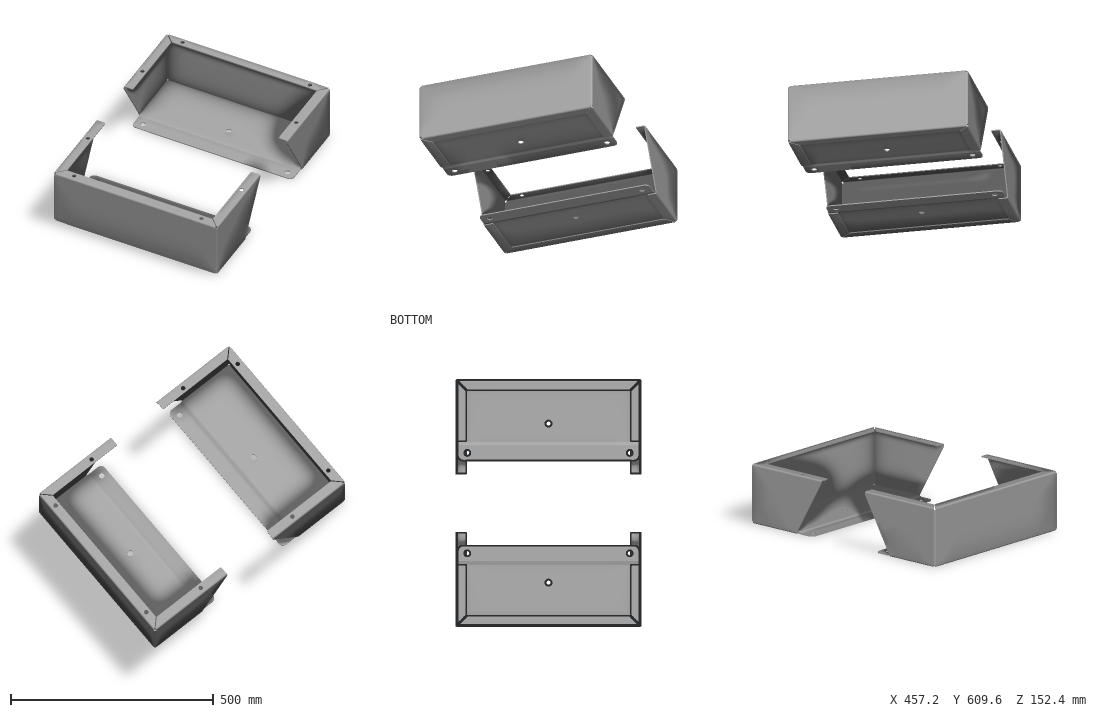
import cadquery as cq
import math

width = 457.2
pair_depth = 609.6
height = 152.4
back = pair_depth / 2
half_width = width / 2

sheet = 2.66
bend_radius = 4.25
bend_inside = bend_radius - sheet
lip_width = 25.4
mitre_gap = 3.2
corner_relief = bend_radius + mitre_gap / 2
lip_corner_radius = 3.0

side_top_length = 231.8
side_bottom_length = 151.9
slope_angle = 30.0
free_edge_height = 8.6
side_top = back - side_top_length
side_bottom = back - side_bottom_length
slope_rise = (side_top_length - side_bottom_length) / math.tan(math.radians(slope_angle))

lip_hole_diameter = 11.11
lip_hole_inset = 14.3
back_hole_x = 177.8
side_hole_y = back - 158.75

floor_hole_diameter = 14.29
floor_hole_y = back - 108.0
step_distance = 152.4
step_run = 9.1
flange_width = 38.1
flange_corner_radius = 12.7
flange_hole_x = 201.2
floor_half_width = half_width - bend_radius
floor_back = back - bend_radius
step_start = back - step_distance
step_end = step_start - step_run
flange_front = step_end - flange_width
flange_hole_y = step_end - flange_width / 2


def prism(points, bottom, top):
    """Vertical prism over a plan outline."""
    return cq.Workplane("XY").workplane(offset=bottom).polyline(points).close().extrude(top - bottom)


def vertical_holes(points, diameter, bottom, top):
    """Cutters for round holes at the given plan points."""
    centres = cq.Workplane("XY").workplane(offset=bottom).pushPoints(points)
    return centres.circle(diameter / 2).extrude(top - bottom)


def u_outline(inset, corner_radius):
    """Plan block with its two back corners rounded, inset from the outer wall faces."""
    block = cq.Workplane("XY").box(
        width - 2 * inset, side_top_length - inset, height, centered=(True, False, False)
    )
    return block.translate((0, side_top, 0)).edges("|Z and >Y").fillet(corner_radius)


def upright_walls():
    """Back wall and two side walls joined by the vertical bends, between the lip bends.

    The vertical bends stop short at the top and bottom to clear the lip corners.
    """
    shell = u_outline(0, bend_radius).cut(u_outline(sheet, bend_inside))
    slope_bottom = height - free_edge_height - slope_rise
    side_view = [
        (back, bend_radius),
        (side_bottom, bend_radius),
        (side_bottom, slope_bottom),
        (side_top, slope_bottom + slope_rise),
        (side_top, height - bend_radius),
        (back, height - bend_radius),
    ]
    keep = cq.Workplane("YZ").polyline(side_view).close().extrude(half_width, both=True)
    walls = shell.intersect(keep)
    corners = [(-half_width, back), (half_width, back)]
    for z in (0, height):
        relief = cq.Workplane("XY").workplane(offset=z).pushPoints(corners)
        walls = walls.cut(relief.rect(2 * corner_relief, 2 * corner_relief).extrude(corner_relief, both=True))
    return walls


def lip_section(plane):
    """Top lip section: origin on the outer wall face at the top, first axis inward."""
    diagonal = math.sqrt(0.5)
    outer_mid = bend_radius * (1 - diagonal)
    inner_mid = bend_radius - bend_inside * diagonal
    return (
        cq.Workplane(plane)
        .moveTo(0, -bend_radius)
        .threePointArc((outer_mid, -outer_mid), (bend_radius, 0))
        .lineTo(lip_width, 0)
        .lineTo(lip_width, -sheet)
        .lineTo(bend_radius, -sheet)
        .threePointArc((inner_mid, -inner_mid), (sheet, -bend_radius))
        .close()
    )


def back_lip():
    """Lip along the back wall, mitred at both ends and stopped short of the vertical bends."""
    plane = cq.Plane(origin=(half_width, back, height), xDir=(0, -1, 0), normal=(-1, 0, 0))
    mitre_x = half_width - mitre_gap / 2
    bend_end = half_width - corner_relief
    inner_x = mitre_x - lip_width
    right_end = [(bend_end, back), (bend_end, back - bend_radius), (inner_x, back - lip_width)]
    left_end = [(-x, y) for x, y in reversed(right_end)]
    plan = right_end + left_end
    return lip_section(plane).extrude(width).intersect(prism(plan, 0, height))


def side_lip(free_end):
    """Lip along the left side wall, mitred at the back and rounded at its free end."""
    plane = cq.Plane(origin=(-half_width, back, height), xDir=(1, 0, 0), normal=(0, -1, 0))
    mitre_y = back - mitre_gap / 2
    bend_end = back - corner_relief
    inner_x = -half_width + lip_width
    plan = [
        (-half_width, bend_end),
        (-half_width + bend_radius, bend_end),
        (inner_x, mitre_y - lip_width),
        (inner_x, free_end),
        (-half_width, free_end),
    ]
    trim = prism(plan, 0, height).edges("|Z and >X and <Y").fillet(lip_corner_radius)
    return lip_section(plane).extrude(back - free_end).intersect(trim)


def lip_ring(free_end):
    """The three top lips; the side lips stop at the given free end."""
    left = side_lip(free_end)
    return [back_lip(), left, left.mirror("YZ")]


def make_frame():
    """Bent wall frame: upright walls, drilled top lips and plain bottom lips."""
    hole_points = [
        point
        for side in (-1, 1)
        for point in (
            (side * back_hole_x, back - lip_hole_inset),
            (side * (half_width - lip_hole_inset), side_hole_y),
        )
    ]
    holes = vertical_holes(hole_points, lip_hole_diameter, height - bend_radius, height)
    frame = upright_walls()
    for lip in lip_ring(side_top):
        frame = frame.union(lip.cut(holes))
    for lip in lip_ring(side_bottom):
        frame = frame.union(lip.mirror("XY").translate((0, 0, height)))
    return frame


def make_floor():
    """Floor plate with a one-thickness step down to its rounded mounting flange."""
    section = [
        (floor_back, sheet),
        (step_start, sheet),
        (step_end, 0),
        (flange_front, 0),
        (flange_front, sheet),
        (step_end, sheet),
        (step_start, 2 * sheet),
        (floor_back, 2 * sheet),
    ]
    plate = cq.Workplane("YZ").polyline(section).close().extrude(floor_half_width, both=True)
    step_bends = [
        (step_start, sheet, bend_inside),
        (step_start, 2 * sheet, bend_radius),
        (step_end, 0, bend_radius),
        (step_end, sheet, bend_inside),
    ]
    for y, z, radius in step_bends:
        plate = plate.edges(cq.selectors.NearestToPointSelector((0, y, z))).fillet(radius)
    plate = plate.edges("|Z and <Y").fillet(flange_corner_radius)
    hole_points = [(0, floor_hole_y), (-flange_hole_x, flange_hole_y), (flange_hole_x, flange_hole_y)]
    return plate.cut(vertical_holes(hole_points, floor_hole_diameter, 0, 2 * sheet))


bodies = []
for body in (make_frame(), make_floor()):
    bodies.append(body.solids().val())
    bodies.append(body.mirror("XZ").solids().val())

result = cq.Compound.makeCompound(bodies)